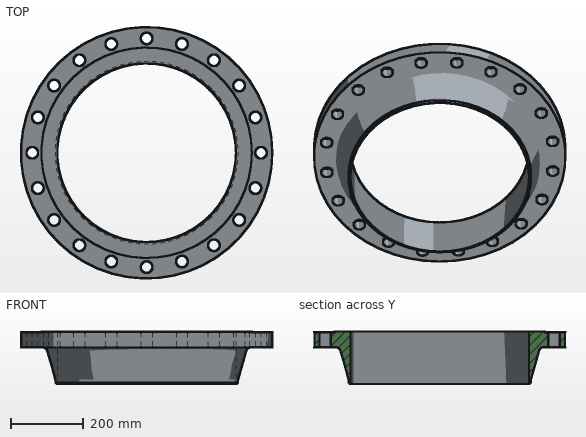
import cadquery as cq
import math

overall_height = 146.05
flange_diameter = 698.5
bore_diameter = 495.3

raised_face_diameter = 584.2
raised_face_height = 1.6
flange_thickness = 42.85

hub_base_diameter = 558.8
hub_fillet_radius = 12.0

weld_end_diameter = 508.0
weld_end_length = 12.0
bevel_height = 5.0
bevel_land = 1.6

bolt_count = 20
bolt_circle_diameter = 635.0
bolt_hole_diameter = 31.75

flange_top = overall_height - raised_face_height
flange_underside = flange_top - flange_thickness


def hub_fillet_points():
    """Return the (radius, height) start, middle and end of the hub fillet arc."""
    taper_run = (hub_base_diameter - weld_end_diameter) / 2
    taper_angle = math.atan2(taper_run, flange_underside - weld_end_length)
    corner_half_angle = (math.pi / 2 + taper_angle) / 2
    tangent_length = hub_fillet_radius / math.tan(corner_half_angle)
    corner_radius = hub_base_diameter / 2

    start = (
        corner_radius - tangent_length * math.sin(taper_angle),
        flange_underside - tangent_length * math.cos(taper_angle),
    )
    end = (corner_radius + tangent_length, flange_underside)

    middle_distance = hub_fillet_radius / math.sin(corner_half_angle) - hub_fillet_radius
    middle = (
        corner_radius + middle_distance * math.cos(corner_half_angle),
        flange_underside - middle_distance * math.sin(corner_half_angle),
    )
    return start, middle, end


def flange_body():
    """Revolve the half section about the Z axis."""
    bore_radius = bore_diameter / 2
    weld_radius = weld_end_diameter / 2
    flange_radius = flange_diameter / 2
    face_radius = raised_face_diameter / 2
    fillet_start, fillet_middle, fillet_end = hub_fillet_points()

    section = (
        cq.Workplane("XZ")
        .moveTo(bore_radius, 0)
        .lineTo(bore_radius + bevel_land, 0)
        .lineTo(weld_radius, bevel_height)
        .lineTo(weld_radius, weld_end_length)
        .lineTo(*fillet_start)
        .threePointArc(fillet_middle, fillet_end)
        .lineTo(flange_radius, flange_underside)
        .lineTo(flange_radius, flange_top)
        .lineTo(face_radius, flange_top)
        .lineTo(face_radius, overall_height)
        .lineTo(bore_radius, overall_height)
        .close()
    )
    return section.revolve(360, (0, 0, 0), (0, 1, 0))


def bolt_holes():
    """Return cylinders on the bolt circle that pass through the flange disc."""
    return (
        cq.Workplane("XY", origin=(0, 0, flange_underside))
        .polarArray(bolt_circle_diameter / 2, 0, 360, bolt_count)
        .circle(bolt_hole_diameter / 2)
        .extrude(flange_thickness)
    )


result = flange_body().cut(bolt_holes())